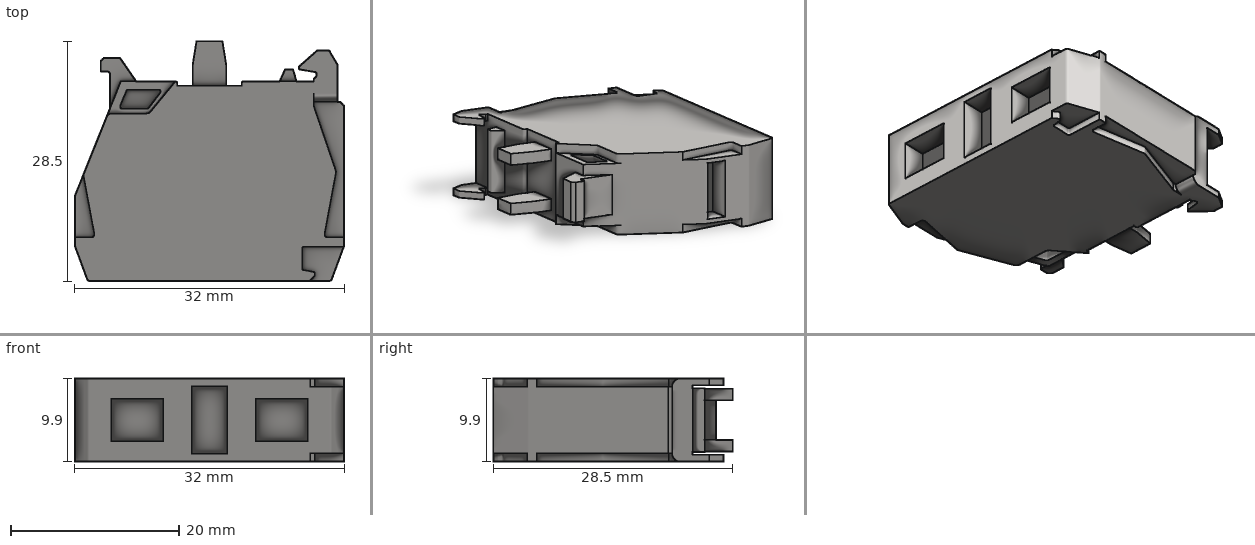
import cadquery as cq
import math

WIDTH = 32.0
THICKNESS = 9.9
TOTAL_LENGTH = 28.5

HALF_WIDTH = WIDTH / 2
HALF_THICKNESS = THICKNESS / 2

FRONT_HALF_WIDTH = 14.46
FRONT_TAPER_END = 4.17
FRONT_CORNER_RADIUS = 0.3
SIDE_CORNER_RADIUS = 0.5
LEFT_SLANT_START = 10.1
LEFT_SLANT_END_X = -10.53
BACK_Y = 23.72
BACK_NOTCH_HALF_WIDTH = 3.82
BACK_NOTCH_Y = 23.2
BACK_NOTCH_RADIUS = 0.25
SHOULDER_Y = 21.27
SHOULDER_CHAMFER = 0.45

STEP_DEPTH = 1.0
CORNER_STEP_DEPTH = 1.15
CORNER_STEP_RADIUS = 0.6
SIDE_STEP_Y = 5.18
STEP_INNER_X = 13.6
STEP_CORNER_RADIUS = 0.38
RIGHT_STEP_KNEE = (15.05, 13.0)
RIGHT_STEP_BACK_Y = 20.85
STEP_OVERCUT = 1.0

ROOT_OVERLAP = 1.0
TIP_RADIUS = 0.15

HOOK_X = 15.22
HOOK_THICKNESS = 0.83
HOOK_ROOT_X = 12.37

CLIP_WIDTH = 4.9
CLIP_HEAD_X = -12.94
CLIP_NECK_X = -11.83
CLIP_TOP_Y = 26.52

PRONG_HALF_WIDTH = 2.0
PRONG_TIP_HALF_WIDTH = 1.55
PRONG_TAPER_START = 25.7
PRONG_THICKNESS = 1.4
PRONG_OUTER_Z = 3.75
RIB_TOP_Y = 25.15
RIB_HALF_THICKNESS = 3.8

WINDOW_DEPTH = 3.0
TERMINAL_WINDOW = (6.18, 5.04)
TERMINAL_WINDOW_X = 8.6
CENTRE_WINDOW = (4.24, 8.0)
SIDE_WINDOW_Y = (7.4, 9.8)
SIDE_WINDOW_HEIGHT = 6.88
CORNER_POCKET_DEPTH = 1.4
CORNER_POCKET_RADIUS = 0.25


def outline_prism(points, z_low, z_high):
    """Extrude a closed outline given as (x, y, corner radius) from z_low to z_high."""
    starts, middles, ends = [], [], []
    for i, (x, y, radius) in enumerate(points):
        corner = cq.Vector(x, y, z_low)
        before = points[i - 1]
        after = points[(i + 1) % len(points)]
        to_before = (cq.Vector(before[0], before[1], z_low) - corner).normalized()
        to_after = (cq.Vector(after[0], after[1], z_low) - corner).normalized()
        half_angle = to_before.getAngle(to_after) / 2
        setback = radius / math.tan(half_angle)
        bisector = (to_before + to_after).normalized()
        starts.append(corner + to_before * setback)
        middles.append(corner + bisector * (radius / math.sin(half_angle) - radius))
        ends.append(corner + to_after * setback)

    edges = []
    for i, point in enumerate(points):
        if point[2] > 0:
            edges.append(cq.Edge.makeThreePointArc(starts[i], middles[i], ends[i]))
        edges.append(cq.Edge.makeLine(ends[i], starts[(i + 1) % len(points)]))
    wire = cq.Wire.assembleEdges(edges)
    solid = cq.Solid.extrudeLinear(wire, [], cq.Vector(0, 0, z_high - z_low))
    return cq.Workplane(obj=solid)


def on_both_faces(solid):
    """Return the solid together with its mirror image in the mid-plane."""
    return solid.union(solid.mirror("XY"))


def face_cut(points, depth):
    """Cutting tool that sinks an outline into both broad faces."""
    return on_both_faces(outline_prism(points, HALF_THICKNESS - depth, HALF_THICKNESS + STEP_OVERCUT))


def left_slant_x(y):
    """X of the slanted left side of the housing at a given Y."""
    run = (LEFT_SLANT_END_X + HALF_WIDTH) / (BACK_Y - LEFT_SLANT_START)
    return -HALF_WIDTH + run * (y - LEFT_SLANT_START)


def make_housing():
    outline = [
        (-FRONT_HALF_WIDTH, 0, FRONT_CORNER_RADIUS),
        (FRONT_HALF_WIDTH, 0, FRONT_CORNER_RADIUS),
        (HALF_WIDTH, FRONT_TAPER_END, SIDE_CORNER_RADIUS),
        (HALF_WIDTH, SHOULDER_Y - SHOULDER_CHAMFER, 0),
        (HALF_WIDTH - SHOULDER_CHAMFER, SHOULDER_Y, 0),
        (HOOK_X, SHOULDER_Y, 0),
        (HOOK_X, BACK_Y, 0),
        (BACK_NOTCH_HALF_WIDTH, BACK_Y, BACK_NOTCH_RADIUS),
        (BACK_NOTCH_HALF_WIDTH, BACK_NOTCH_Y, 0),
        (-BACK_NOTCH_HALF_WIDTH, BACK_NOTCH_Y, 0),
        (-BACK_NOTCH_HALF_WIDTH, BACK_Y, BACK_NOTCH_RADIUS),
        (LEFT_SLANT_END_X, BACK_Y, 0),
        (-HALF_WIDTH, LEFT_SLANT_START, SIDE_CORNER_RADIUS),
        (-HALF_WIDTH, FRONT_TAPER_END, SIDE_CORNER_RADIUS),
    ]
    return outline_prism(outline, -HALF_THICKNESS, HALF_THICKNESS)


def left_side_step():
    outer_x = -HALF_WIDTH - STEP_OVERCUT
    top_y = 12.63
    return face_cut(
        [
            (-STEP_INNER_X, SIDE_STEP_Y, STEP_CORNER_RADIUS),
            (left_slant_x(top_y), top_y, 0),
            (outer_x, top_y, 0),
            (outer_x, SIDE_STEP_Y, 0),
        ],
        STEP_DEPTH,
    )


def right_side_step():
    """Step along the right side; its back end is rounded over towards the hook."""
    outer_x = HALF_WIDTH + STEP_OVERCUT
    round_radius = STEP_DEPTH
    step = face_cut(
        [
            (STEP_INNER_X, SIDE_STEP_Y, STEP_CORNER_RADIUS),
            (outer_x, SIDE_STEP_Y, 0),
            (outer_x, SHOULDER_Y, 0),
            (HOOK_ROOT_X, SHOULDER_Y, 0),
            (HOOK_ROOT_X, RIGHT_STEP_BACK_Y, 0),
            (*RIGHT_STEP_KNEE, SIDE_CORNER_RADIUS),
        ],
        STEP_DEPTH,
    )
    length = outer_x - HOOK_ROOT_X
    corner_block = cq.Workplane().box(length, round_radius, round_radius, centered=False)
    corner_block = corner_block.translate((HOOK_ROOT_X, SHOULDER_Y, HALF_THICKNESS - round_radius))
    roller = cq.Workplane("YZ").circle(round_radius).extrude(length)
    roller = roller.translate((HOOK_ROOT_X, SHOULDER_Y + round_radius, HALF_THICKNESS - round_radius))
    return step.union(on_both_faces(corner_block.cut(roller)))


def front_latch_step():
    """Hook-shaped step at the right end of the front face."""
    outer_x = HALF_WIDTH + STEP_OVERCUT
    inner_x = 11.03
    top_y = 4.08
    nose_foot_x = 12.0
    corner_radius = 0.2
    return face_cut(
        [
            (inner_x, top_y, corner_radius),
            (inner_x, 1.33, corner_radius),
            (12.55, 1.05, corner_radius),
            (12.5, 0.6, corner_radius),
            (nose_foot_x, 0.1, 0),
            (nose_foot_x, -STEP_OVERCUT, 0),
            (outer_x, -STEP_OVERCUT, 0),
            (outer_x, top_y, 0),
        ],
        STEP_DEPTH,
    )


def back_corner_step():
    """Step at the left of the back with a smaller pocket inside it.

    The step wall rounds over into the slanted left side of the housing.
    """
    step_y = 19.9
    outer_y = BACK_Y + STEP_OVERCUT
    slant_foot_x = -7.2
    slant_top_x = -4.05
    slant_run = (slant_top_x - slant_foot_x) / (BACK_Y - step_y)
    outer_x = -HALF_WIDTH
    runout_y = step_y - STEP_OVERCUT
    step = face_cut(
        [
            (slant_foot_x, step_y, CORNER_STEP_RADIUS),
            (slant_top_x + slant_run * STEP_OVERCUT, outer_y, 0),
            (outer_x, outer_y, 0),
            (outer_x, runout_y, 0),
            (left_slant_x(runout_y), runout_y, 0),
            (left_slant_x(step_y), step_y, CORNER_STEP_RADIUS),
        ],
        CORNER_STEP_DEPTH,
    )
    pocket_low_y = 20.47
    pocket_high_y = 22.75
    pocket = face_cut(
        [
            (-10.75, pocket_low_y, CORNER_POCKET_RADIUS),
            (-7.3, pocket_low_y, CORNER_POCKET_RADIUS),
            (-5.55, pocket_high_y, CORNER_POCKET_RADIUS),
            (-9.8, pocket_high_y, CORNER_POCKET_RADIUS),
        ],
        CORNER_STEP_DEPTH + CORNER_POCKET_DEPTH,
    )
    return step.union(pocket)


def front_window(size, centre_x):
    window = cq.Workplane().box(size[0], WINDOW_DEPTH, size[1], centered=(True, False, True))
    return window.translate((centre_x, 0, 0))


def side_window():
    low_y, high_y = SIDE_WINDOW_Y
    window = cq.Workplane().box(
        WINDOW_DEPTH, high_y - low_y, SIDE_WINDOW_HEIGHT, centered=(False, False, True)
    )
    return window.translate((-HALF_WIDTH, low_y, 0))


def catch_hooks():
    root_y = BACK_Y - ROOT_OVERLAP
    top_y = 27.4
    shoulder_y = 25.7
    nose_radius = 0.24
    throat_radius = 0.2
    hook = outline_prism(
        [
            (HOOK_ROOT_X, root_y, 0),
            (HOOK_X, root_y, 0),
            (HOOK_X, shoulder_y, 0),
            (14.22, top_y, TIP_RADIUS),
            (12.8, top_y, TIP_RADIUS),
            (10.31, 25.19, nose_radius),
            (12.74, 24.78, throat_radius),
            (12.68, 24.3, throat_radius),
            (HOOK_ROOT_X, 24.0, 0),
        ],
        HALF_THICKNESS - HOOK_THICKNESS,
        HALF_THICKNESS,
    )
    return on_both_faces(hook)


def back_clip():
    head_y = 24.88
    head_chamfer = 0.4
    lip_radius = 0.15
    neck_radius = 0.3
    root_y = 20.0
    root_x = -8.7
    return outline_prism(
        [
            (CLIP_NECK_X, root_y, 0),
            (root_x, root_y, 0),
            (root_x, BACK_Y, 0),
            (-10.63, CLIP_TOP_Y, TIP_RADIUS),
            (CLIP_HEAD_X + head_chamfer, CLIP_TOP_Y, 0),
            (CLIP_HEAD_X, CLIP_TOP_Y - head_chamfer, 0),
            (CLIP_HEAD_X, head_y, lip_radius),
            (CLIP_NECK_X, head_y, neck_radius),
        ],
        -CLIP_WIDTH / 2,
        CLIP_WIDTH / 2,
    )


def back_prongs():
    root_y = BACK_NOTCH_Y - ROOT_OVERLAP
    prong = outline_prism(
        [
            (-PRONG_HALF_WIDTH, root_y, 0),
            (PRONG_HALF_WIDTH, root_y, 0),
            (PRONG_HALF_WIDTH, PRONG_TAPER_START, 0),
            (PRONG_TIP_HALF_WIDTH, TOTAL_LENGTH, 0),
            (-PRONG_TIP_HALF_WIDTH, TOTAL_LENGTH, 0),
            (-PRONG_HALF_WIDTH, PRONG_TAPER_START, 0),
        ],
        PRONG_OUTER_Z - PRONG_THICKNESS,
        PRONG_OUTER_Z,
    )
    return on_both_faces(prong)


def back_rib():
    root_y = BACK_Y - ROOT_OVERLAP
    left_x = 8.33
    right_x = 10.35
    return outline_prism(
        [
            (left_x, root_y, 0),
            (right_x, root_y, 0),
            (right_x, BACK_Y, 0),
            (9.93, RIB_TOP_Y, TIP_RADIUS),
            (8.98, RIB_TOP_Y, TIP_RADIUS),
            (left_x, BACK_Y, 0),
        ],
        -RIB_HALF_THICKNESS,
        RIB_HALF_THICKNESS,
    )


housing = make_housing()
for attachment in (catch_hooks(), back_prongs(), back_rib(), back_clip()):
    housing = housing.union(attachment)

for step in (left_side_step(), right_side_step(), front_latch_step(), back_corner_step()):
    housing = housing.cut(step)

for window_x in (-TERMINAL_WINDOW_X, TERMINAL_WINDOW_X):
    housing = housing.cut(front_window(TERMINAL_WINDOW, window_x))
housing = housing.cut(front_window(CENTRE_WINDOW, 0))
housing = housing.cut(side_window())

result = housing